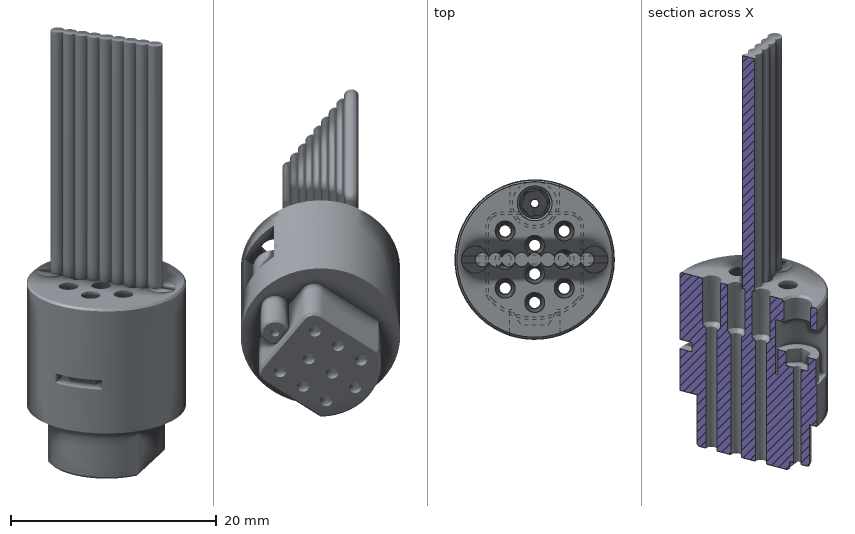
import cadquery as cq
import math

total_height = 43.89
plug_height = 5.55
body_height = 12.93
body_top = plug_height + body_height

body_diameter = 15.49
body_radius = body_diameter / 2
body_chamfer = 0.2

plug_half_width = 4.74
plug_nose_y = -5.85
plug_nose_corner_y = -3.5
plug_back_y = 4.61
plug_corner_radius = 1.37
plug_chamfer = 0.25

contact_column = 2.87
contact_row = 2.78
contact_points = [(x, y) for x in (-contact_column, contact_column) for y in (-contact_row, 0, contact_row)]
contact_points += [(0, y - contact_row / 2) for y in (-contact_row, 0, contact_row)]
contact_entry_diameter = 1.93
contact_bore_diameter = 1.17
contact_entry_depth = 5.0
contact_cone_height = (contact_entry_diameter - contact_bore_diameter) / 2

wire_count = 9
wire_pitch = 1.27
wire_diameter = 1.4

screw_x = 5.79
screw_diameter = 2.64
screw_rise = 0.13
screw_sink = 1.0
screw_slot_width = 0.7
screw_slot_depth = 0.6

guide_y = 5.46
guide_shank_diameter = 2.79
guide_shank_bottom = 0.95
guide_shank_chamfer = 0.2
guide_head_diameter = 4.32
guide_head_height = 2.74
guide_bore_diameter = 0.81
guide_socket_diameter = 2.75
guide_socket_depth = 1.5
guide_socket_angle = 10
guide_access_diameter = 2.95
guide_access_chamfer = 0.21

opening_floor = 10.13
window_width = 4.8
window_height = 5.87
slot_width = 4.88
slot_height = 0.98
slot_end_y = -4.85
slot_nose_half_width = 1.32
slot_nose_base_half_width = 2.2
slot_nose_angle = math.radians(60)
slot_nose_length = (slot_nose_base_half_width - slot_nose_half_width) * math.tan(slot_nose_angle)


def cylinder(diameter, height, x, y, bottom):
    """Vertical cylinder standing on z = bottom."""
    return cq.Workplane("XY", origin=(x, y, bottom)).circle(diameter / 2).extrude(height)


def make_body():
    body = cylinder(body_diameter, body_height, 0, 0, plug_height)
    return body.faces(">Z").chamfer(body_chamfer)


def make_plug():
    """Flat-sided plug with an arched -Y end and rounded +Y corners."""
    plug = (
        cq.Workplane("XY")
        .moveTo(-plug_half_width, plug_nose_corner_y)
        .threePointArc((0, plug_nose_y), (plug_half_width, plug_nose_corner_y))
        .lineTo(plug_half_width, plug_back_y)
        .lineTo(-plug_half_width, plug_back_y)
        .close()
        .extrude(plug_height)
    )
    plug = plug.edges("|Z and >Y").fillet(plug_corner_radius)
    return plug.faces("<Z").chamfer(plug_chamfer)


def make_contact_hole(x, y):
    """Stepped through hole, revolved about its own vertical axis."""
    entry_radius = contact_entry_diameter / 2
    bore_radius = contact_bore_diameter / 2
    cone_top = body_top - contact_entry_depth
    cone_bottom = cone_top - contact_cone_height
    profile = [
        (0, 0),
        (bore_radius, 0),
        (bore_radius, cone_bottom),
        (entry_radius, cone_top),
        (entry_radius, body_top),
        (0, body_top),
    ]
    hole = cq.Workplane("XZ").polyline(profile).close().revolve(360, (0, 0), (0, 1))
    return hole.translate((x, y, 0))


def make_guide_window():
    """Round-ended recess around the guide screw head, open on the +Y side."""
    opening_length = body_radius - guide_y
    window = cylinder(window_width, window_height, 0, guide_y, opening_floor)
    opening = (
        cq.Workplane("XY", origin=(0, guide_y + opening_length / 2, opening_floor))
        .rect(window_width, opening_length)
        .extrude(window_height)
    )
    return window.union(opening)


def make_guide_access():
    """Chamfered hole from the body's top face down to the guide screw head."""
    window_top = opening_floor + window_height
    access = cylinder(guide_access_diameter, body_top - window_top, 0, guide_y, window_top)
    mouth = (
        cq.Workplane("XY", origin=(0, guide_y, body_top))
        .circle(guide_access_diameter / 2 + guide_access_chamfer)
        .workplane(offset=-guide_access_chamfer)
        .circle(guide_access_diameter / 2)
        .loft()
    )
    return access.union(mouth)


def make_guide_screw():
    """Shank and head of the guide screw, with a hexagonal socket in the head."""
    shank_length = opening_floor - guide_shank_bottom
    shank = cylinder(guide_shank_diameter, shank_length, 0, guide_y, guide_shank_bottom)
    shank = shank.faces("<Z").chamfer(guide_shank_chamfer)
    head = cylinder(guide_head_diameter, guide_head_height, 0, guide_y, opening_floor)
    socket = (
        cq.Workplane("XY")
        .polygon(6, guide_socket_diameter)
        .extrude(guide_socket_depth)
        .rotate((0, 0, 0), (0, 0, 1), guide_socket_angle)
        .translate((0, guide_y, opening_floor + guide_head_height - guide_socket_depth))
    )
    return shank.union(head.cut(socket))


def make_side_slot():
    """Pocket open on the -Y side, with a tapered nose standing out from its end wall."""
    half_width = slot_width / 2
    nose_y = slot_end_y - slot_nose_length
    outline = [
        (-half_width, -body_radius),
        (half_width, -body_radius),
        (half_width, slot_end_y),
        (slot_nose_base_half_width, slot_end_y),
        (slot_nose_half_width, nose_y),
        (-slot_nose_half_width, nose_y),
        (-slot_nose_base_half_width, slot_end_y),
        (-half_width, slot_end_y),
    ]
    return cq.Workplane("XY", origin=(0, 0, opening_floor)).polyline(outline).close().extrude(slot_height)


def make_screw_head(x):
    """Screw head standing slightly proud of the body."""
    return cylinder(screw_diameter, screw_rise + screw_sink, x, 0, body_top - screw_sink)


def make_screw_slot(x):
    """Driver slot across a screw head, ending at the head's rim."""
    slot_bottom = body_top + screw_rise - screw_slot_depth
    blade = (
        cq.Workplane("XY", origin=(x, 0, slot_bottom))
        .rect(screw_diameter, screw_slot_width)
        .extrude(screw_slot_depth)
    )
    return blade.intersect(cylinder(screw_diameter, screw_slot_depth, x, 0, slot_bottom))


def make_wire(index):
    x = (index - (wire_count - 1) / 2) * wire_pitch
    return cylinder(wire_diameter, total_height - body_top, x, 0, body_top)


result = make_body().union(make_plug())
result = result.cut(make_side_slot())
result = result.cut(make_guide_window())
result = result.cut(make_guide_access())
result = result.union(make_guide_screw())
result = result.cut(cylinder(guide_bore_diameter, body_top, 0, guide_y, 0))

for side in (-1, 1):
    result = result.union(make_screw_head(side * screw_x))
    result = result.cut(make_screw_slot(side * screw_x))

for hole_x, hole_y in contact_points:
    result = result.cut(make_contact_hole(hole_x, hole_y))

for wire_index in range(wire_count):
    result = result.union(make_wire(wire_index))